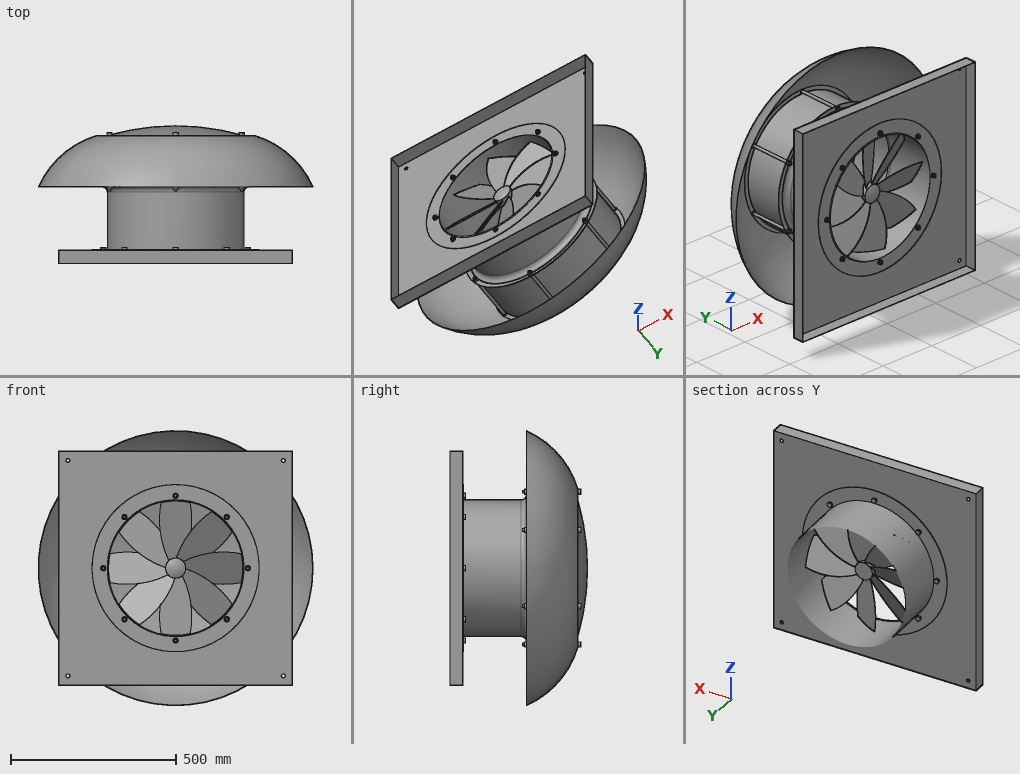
import cadquery as cq
import math


hood_diameter = 832.73
total_height = 417.4

sheet = 1.5
tray_width = 709.0
tray_height = 40.5
mount_hole_spacing = 652.0
mount_hole_diameter = 11.0

duct_inner_radius = 204.8
duct_outer_radius = 207.3
mount_ring_radius = 253.0
mount_ring_back = tray_height + sheet
flare_start = 216.0
flare_radius = 16.0
flange_radius = 240.0
flange_front = flare_start + flare_radius

hood_rim = 232.0
hood_rim_radius = hood_diameter / 2
hood_flat = 388.5
hood_curve_center_radius = 158.0
hood_curve_center_height = 117.5
dome_radius = 205.0

drum_outer_radius = 225.0
drum_thickness = 2.0
rod_count = 6
rod_circle_radius = 231.0
rod_radius = 5.0

head_radius = 8.0
head_height = 8.0
nut_height = 6.0
stud_radius = 4.0
stud_length = 5.5
ring_bolt_count = 8
ring_bolt_circle_radius = 219.0
ring_head_height = 6.0
ring_nut_radius = 7.0
ring_nut_height = 4.0
ring_stud_length = 3.0

blade_count = 8
blade_tip_radius = 203.0
blade_tip_half_width = 43.0
blade_middle_radius = 103.0
blade_middle_half_width = 45.5
blade_root_radius = 22.0
blade_root_half_width = 20.0
blade_thickness = 2.5
blade_pitch = 30.0
blade_center = 92.0
hub_radius = 30.5
hub_front = 74.0
hub_back = 108.0
hub_nose_depth = 8.0

FULL_TURN = 360.0


def revolve_about_axis(profile):
    """Revolve an XY outline (X = radius, Y = height) about the fan axis."""
    return profile.close().revolve(FULL_TURN, (0, 0, 0), (0, 1, 0))


def rod_along_axis(radius, start, end, x=0.0, z=0.0):
    """Round rod parallel to the fan axis from height start to height end."""
    base = cq.Vector(x, start, z)
    return cq.Workplane(cq.Solid.makeCylinder(radius, end - start, base, cq.Vector(0, 1, 0)))


def circle_points(count, radius, first_angle):
    """Evenly spaced (x, z) places on a circle about the fan axis."""
    angles = [math.radians(first_angle + i * FULL_TURN / count) for i in range(count)]
    return [(radius * math.cos(a), radius * math.sin(a)) for a in angles]


def make_tray():
    on_base = (True, False, True)
    inner_width = tray_width - 2 * sheet
    outer = cq.Workplane("XY").box(tray_width, tray_height, tray_width, centered=on_base)
    inside = cq.Workplane("XY").box(inner_width, tray_height - sheet, inner_width, centered=on_base)
    tray = outer.cut(inside).cut(rod_along_axis(mount_ring_radius, 0, tray_height))
    offset = mount_hole_spacing / 2
    for x in (-offset, offset):
        for z in (-offset, offset):
            tray = tray.cut(rod_along_axis(mount_hole_diameter / 2, 0, tray_height, x, z))
    return tray


def make_duct():
    wall = duct_outer_radius - duct_inner_radius
    diagonal = math.sqrt(0.5)
    bend_radius = duct_outer_radius + flare_radius
    inner_bend = flare_radius + wall
    profile = (
        cq.Workplane("XY")
        .moveTo(duct_inner_radius, tray_height - sheet)
        .lineTo(mount_ring_radius, tray_height - sheet)
        .lineTo(mount_ring_radius, mount_ring_back)
        .lineTo(duct_outer_radius, mount_ring_back)
        .lineTo(duct_outer_radius, flare_start)
        .threePointArc(
            (bend_radius - flare_radius * diagonal, flare_start + flare_radius * diagonal),
            (bend_radius, flange_front),
        )
        .lineTo(flange_radius, flange_front)
        .lineTo(flange_radius, flare_start + inner_bend)
        .lineTo(bend_radius, flare_start + inner_bend)
        .threePointArc(
            (bend_radius - inner_bend * diagonal, flare_start + inner_bend * diagonal),
            (duct_inner_radius, flare_start),
        )
    )
    return revolve_about_axis(profile)


def make_hood():
    rim_reach = hood_rim_radius - hood_curve_center_radius
    rim_rise = hood_rim - hood_curve_center_height
    curve_radius = math.hypot(rim_reach, rim_rise)
    dome_rise = total_height - hood_flat
    dome_curve_radius = (dome_radius**2 + dome_rise**2) / (2 * dome_rise)
    dome_center_height = total_height - dome_curve_radius

    def solid_hood(inset):
        """Filled hood whose every face lies inset inside the outer face; the rim stays in place."""
        flat = hood_flat - inset
        skirt_curve = curve_radius - inset
        dome_curve = dome_curve_radius - inset

        def skirt_radius(height):
            rise = height - hood_curve_center_height
            return hood_curve_center_radius + math.sqrt(skirt_curve**2 - rise**2)

        def dome_height(radius):
            return dome_center_height + math.sqrt(dome_curve**2 - radius**2)

        dome_edge = math.sqrt(dome_curve**2 - (flat - dome_center_height) ** 2)
        middle_height = (hood_rim + flat) / 2
        profile = (
            cq.Workplane("XY")
            .moveTo(0, hood_rim)
            .lineTo(skirt_radius(hood_rim), hood_rim)
            .threePointArc((skirt_radius(middle_height), middle_height), (skirt_radius(flat), flat))
            .lineTo(dome_edge, flat)
            .threePointArc((dome_edge / 2, dome_height(dome_edge / 2)), (0, dome_height(0)))
        )
        return revolve_about_axis(profile)

    return solid_hood(0).cut(solid_hood(sheet))


def make_drum():
    bottom = flange_front
    top = hood_flat - sheet / 2
    outside = rod_along_axis(drum_outer_radius, bottom, top)
    inside = rod_along_axis(drum_outer_radius - drum_thickness, bottom, top)
    return outside.cut(inside)


def make_tie_rods():
    """Tie rods from the flange to the hood, each with a head on the hood and a nut under the flange."""
    parts = []
    for x, z in circle_points(rod_count, rod_circle_radius, FULL_TURN / rod_count / 2):
        parts.append(rod_along_axis(rod_radius, flange_front, hood_flat, x, z))
        parts.append(rod_along_axis(head_radius, hood_flat, hood_flat + head_height, x, z))
        parts.append(rod_along_axis(head_radius, flange_front - nut_height, flange_front, x, z))
        stud_end = flange_front - nut_height - stud_length
        parts.append(rod_along_axis(stud_radius, stud_end, flange_front, x, z))
    return parts


def make_ring_bolts():
    """Bolts through the mounting ring, with a head on the duct side and a nut in the tray."""
    ring_front = tray_height - sheet
    parts = []
    for x, z in circle_points(ring_bolt_count, ring_bolt_circle_radius, 0):
        parts.append(rod_along_axis(head_radius, mount_ring_back, mount_ring_back + ring_head_height, x, z))
        parts.append(rod_along_axis(ring_nut_radius, ring_front - ring_nut_height, ring_front, x, z))
        stud_end = ring_front - ring_nut_height - ring_stud_length
        parts.append(rod_along_axis(stud_radius, stud_end, ring_front, x, z))
    return parts


def make_housing():
    housing = make_tray()
    for part in [make_duct(), make_drum(), make_hood(), *make_tie_rods(), *make_ring_bolts()]:
        housing = housing.union(part, clean=False)
    return housing


def make_hub():
    nose_curve_radius = (hub_radius**2 + hub_nose_depth**2) / (2 * hub_nose_depth)
    nose_tip = hub_front - hub_nose_depth
    nose_middle_radius = hub_radius / 2
    nose_middle = nose_tip + nose_curve_radius - math.sqrt(nose_curve_radius**2 - nose_middle_radius**2)
    profile = (
        cq.Workplane("XY")
        .moveTo(0, hub_back)
        .lineTo(hub_radius, hub_back)
        .lineTo(hub_radius, hub_front)
        .threePointArc((nose_middle_radius, nose_middle), (0, nose_tip))
    )
    return revolve_about_axis(profile)


def make_blade():
    """Flat pitched blade pointing along +Z, with its -X edge nearer to the tray."""
    outline = (
        cq.Workplane("XZ")
        .moveTo(-blade_root_half_width, blade_root_radius)
        .threePointArc(
            (-blade_middle_half_width, blade_middle_radius),
            (-blade_tip_half_width, blade_tip_radius),
        )
        .lineTo(blade_tip_half_width, blade_tip_radius)
        .threePointArc(
            (blade_middle_half_width, blade_middle_radius),
            (blade_root_half_width, blade_root_radius),
        )
        .close()
        .extrude(total_height, both=True)
    )
    plate_size = 2 * blade_tip_radius
    plate = (
        cq.Workplane("XY")
        .box(plate_size, blade_thickness, 2 * plate_size)
        .rotate((0, 0, 0), (0, 0, 1), blade_pitch)
        .translate((0, blade_center, 0))
    )
    tip_circle = rod_along_axis(blade_tip_radius, 0, total_height)
    return outline.intersect(plate).intersect(tip_circle)


def make_impeller():
    impeller = make_hub()
    blade = make_blade()
    for i in range(blade_count):
        impeller = impeller.union(blade.rotate((0, 0, 0), (0, 1, 0), i * FULL_TURN / blade_count))
    return impeller


housing = make_housing()
impeller = make_impeller()
result = cq.Compound.makeCompound([housing.solids().val(), impeller.solids().val()])